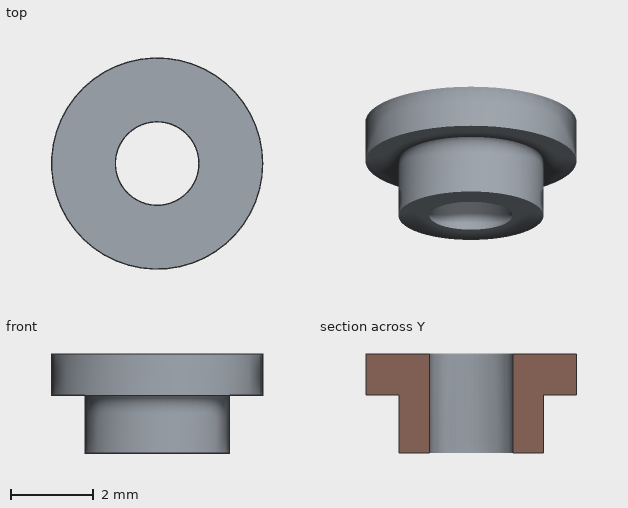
import cadquery as cq

flange_diameter = 5.1
flange_thickness = 1.0
sleeve_diameter = 3.5
bore_diameter = 2.01
total_height = 2.4
sleeve_length = total_height - flange_thickness


def make_sleeve():
    """Narrow cylinder standing on the XY plane."""
    return cq.Workplane("XY").circle(sleeve_diameter / 2).extrude(sleeve_length)


def add_flange(body):
    """Wide disc on top of the sleeve."""
    return body.faces(">Z").workplane().circle(flange_diameter / 2).extrude(flange_thickness)


def cut_bore(body):
    """Straight hole through the whole height."""
    return body.faces(">Z").workplane().circle(bore_diameter / 2).cutThruAll()


result = cut_bore(add_flange(make_sleeve()))